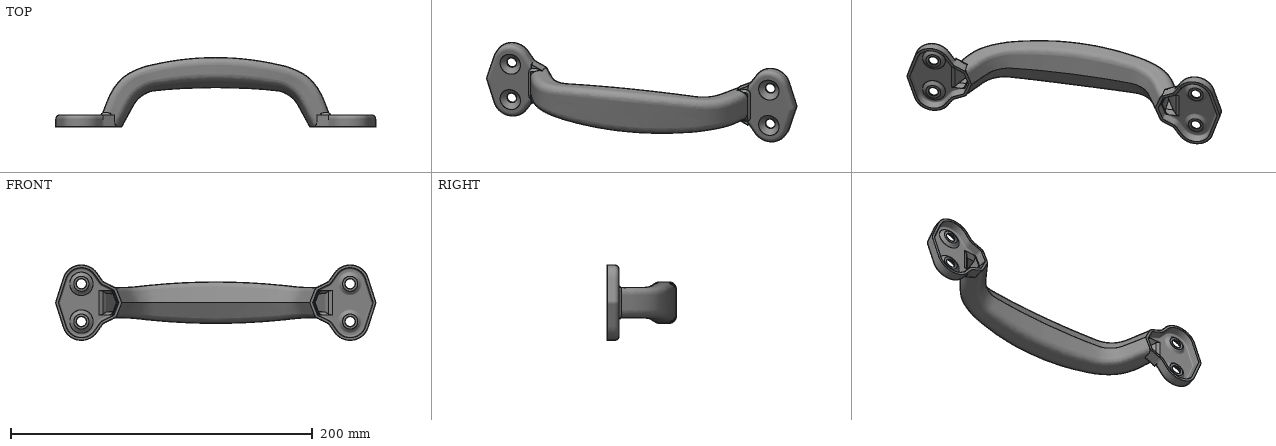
import cadquery as cq
import math

OUTER_LINE = {"apex": 45.95, "bow_radius": 185.0, "bow_angle": 15.0, "bend_radius": 34.7, "leg_angle": 68.7}
RIDGE_LINE = {"apex": 26.0, "bow_radius": 397.0, "bow_angle": 5.75, "bend_radius": 19.1, "leg_angle": 61.6}
LEG_SPANS = 3
BEND_SPANS = 3
BOW_SPANS = 6

GRIP_HALF_WIDTH = 13.75
WAIST_HALF_WIDTH = 10.1
WIDTH_FALLOFF = 0.00123
RIDGE_SLOPE = 21.0
INNER_ROUND_RATIO = 0.37
OUTER_ROUND = 5.0

PAD_HEIGHT = 8.0
PAD_TIP_X = 106.0
TIP_ROUND = 3.0
LUG_RADIUS = 12.5
HOLE_X = 89.0
HOLE_Z = 12.5
NECK_START = (74.6, 13.8)
NECK_END = (66.0, 9.7)
NECK_ROUND = 4.0
PAD_EDGE_ROUND = 3.0

COLLAR_INNER_X = 69.0
COLLAR_OUTER_X = 76.3
COLLAR_HALF_WIDTH = 11.2
COLLAR_CORNER_ROUND = 3.0
COLLAR_HEIGHT = 1.5
COLLAR_SLOPE = 45.0
NECK_BLOCK_X = 74.6

RIM_WIDTH = 1.8
POCKET_DEPTH = 5.5
POCKET_DRAFT = 8.0
POCKET_FLOOR_ROUND = 0.8

HOLLOW_MOUTH_HALF_WIDTH = 8.2
HOLLOW_BED_HALF_WIDTH = 6.2
HOLLOW_TOP_HALF_WIDTH = 5.2
HOLLOW_START_X = 77.2
HOLLOW_RAMP_X = 74.8
HOLLOW_RAMP_DEPTH = 6.4
HOLLOW_BED_X = 72.6
HOLLOW_BED_DEPTH = 8.8
HOLLOW_BED_ANGLE = 63.0
HOLLOW_WALL = 2.6

HOLE_DIAMETER = 6.6
BOSS_TOP_RADIUS = 5.0
BOSS_FLANK_RADIUS = 6.2
BOSS_BASE_RADIUS = 8.9
BOSS_HEIGHT = 1.8
BOSS_FOOT_HEIGHT = 1.0
COUNTERSINK_RADIUS = 7.0
COUNTERSINK_DEPTH = 3.3


def line_stations(line):
    """Points on one grip line, from the foot of the +X leg to mid-length."""
    bow = line["bow_radius"]
    bend = line["bend_radius"]
    bow_angle = math.radians(line["bow_angle"])
    leg_angle = math.radians(line["leg_angle"])
    bow_center_y = line["apex"] - bow
    bend_center_x = (bow - bend) * math.sin(bow_angle)
    bend_center_y = bow_center_y + (bow - bend) * math.cos(bow_angle)

    def on_bend(angle):
        return bend_center_x + bend * math.sin(angle), bend_center_y + bend * math.cos(angle)

    def on_bow(angle):
        return bow * math.sin(angle), bow_center_y + bow * math.cos(angle)

    leg_top = on_bend(leg_angle)
    foot = (leg_top[0] + leg_top[1] / math.tan(leg_angle), 0.0)
    points = []
    for i in range(LEG_SPANS):
        share = i / LEG_SPANS
        points.append((foot[0] + (leg_top[0] - foot[0]) * share, leg_top[1] * share))
    for i in range(BEND_SPANS):
        points.append(on_bend(leg_angle + (bow_angle - leg_angle) * i / BEND_SPANS))
    for i in range(BOW_SPANS + 1):
        points.append(on_bow(bow_angle * (1 - i / BOW_SPANS)))
    return points


def grip_section(ridge, outer):
    """Five-sided section with rounded edges, in the plane through ridge, outer and the Z direction."""
    depth = math.dist(ridge, outer)
    half_width = max(WAIST_HALF_WIDTH, GRIP_HALF_WIDTH - WIDTH_FALLOFF * ((ridge[0] + outer[0]) / 2) ** 2)
    radius = INNER_ROUND_RATIO * half_width
    slope = math.radians(RIDGE_SLOPE)
    bisector = (math.pi / 2 - slope) / 2
    center_z = half_width - radius
    inner_z = center_z + radius * math.sin(slope)
    inner_depth = inner_z * math.tan(slope)
    inner_center_depth = inner_depth + radius * math.cos(slope)
    inner_mid_angle = slope + bisector
    inner_mid_depth = inner_center_depth - radius * math.cos(inner_mid_angle)
    inner_mid_z = center_z + radius * math.sin(inner_mid_angle)
    flat_z = half_width - OUTER_ROUND
    side_end = depth - OUTER_ROUND
    outer_mid = OUTER_ROUND * math.sqrt(0.5)

    direction = ((outer[0] - ridge[0]) / depth, (outer[1] - ridge[1]) / depth)
    plane = cq.Plane(
        origin=(ridge[0], ridge[1], 0),
        xDir=(direction[0], direction[1], 0),
        normal=(direction[1], -direction[0], 0),
    )
    return (
        cq.Workplane(plane)
        .moveTo(0, 0)
        .lineTo(inner_depth, inner_z)
        .threePointArc((inner_mid_depth, inner_mid_z), (inner_center_depth, half_width))
        .lineTo(side_end, half_width)
        .threePointArc((side_end + outer_mid, flat_z + outer_mid), (depth, flat_z))
        .lineTo(depth, -flat_z)
        .threePointArc((side_end + outer_mid, -flat_z - outer_mid), (side_end, -half_width))
        .lineTo(inner_center_depth, -half_width)
        .threePointArc((inner_mid_depth, -inner_mid_z), (inner_depth, -inner_z))
        .close()
        .wire()
        .val()
    )


def make_half_grip():
    stations = zip(line_stations(RIDGE_LINE), line_stations(OUTER_LINE))
    sections = [grip_section(ridge, outer) for ridge, outer in stations]
    return cq.Workplane(cq.Solid.makeLoft(sections))


def lug_tangent(center, radius, side):
    """Direction angle of the line touching the lug and a circle; a radius of 0 makes it a point."""
    dx = center[0] - HOLE_X
    dz = center[1] - HOLE_Z
    return math.atan2(dz, dx) + side * math.acos((LUG_RADIUS - radius) / math.hypot(dx, dz))


def on_lug(angle):
    return HOLE_X + LUG_RADIUS * math.cos(angle), HOLE_Z + LUG_RADIUS * math.sin(angle)


def below(point):
    return point[0], -point[1]


def make_pad_prism(ridge_foot_x):
    """Pad at +X with square edges, standing on Y = 0 and ending in a point at the foot of the ridge."""
    tip_center = (PAD_TIP_X - TIP_ROUND, 0)
    tip_angle = lug_tangent(tip_center, TIP_ROUND, 1)
    neck_angle = lug_tangent(NECK_START, 0, -1) % (2 * math.pi)
    tip_end = (tip_center[0] + TIP_ROUND * math.cos(tip_angle), TIP_ROUND * math.sin(tip_angle))
    lug_near_tip = on_lug(tip_angle)
    lug_middle = on_lug((tip_angle + neck_angle) / 2)
    lug_near_neck = on_lug(neck_angle)
    prism = (
        cq.Workplane("XZ")
        .moveTo(*below(tip_end))
        .threePointArc((PAD_TIP_X, 0), tip_end)
        .lineTo(*lug_near_tip)
        .threePointArc(lug_middle, lug_near_neck)
        .lineTo(*NECK_START)
        .lineTo(*NECK_END)
        .lineTo(ridge_foot_x, 0)
        .lineTo(*below(NECK_END))
        .lineTo(*below(NECK_START))
        .lineTo(*below(lug_near_neck))
        .threePointArc(below(lug_middle), below(lug_near_tip))
        .close()
        .extrude(-PAD_HEIGHT)
    )
    for corner in (NECK_START, NECK_END):
        for x, z in (corner, below(corner)):
            nearest = cq.selectors.NearestToPointSelector((x, PAD_HEIGHT / 2, z))
            prism = prism.edges("|Y").edges(nearest).fillet(NECK_ROUND)
    return prism


def make_neck_block(prism):
    """The square-edged neck part of the pad."""
    width = 2 * PAD_TIP_X
    inner_side = cq.Workplane("XY").box(NECK_BLOCK_X, PAD_HEIGHT, width, centered=(False, False, True))
    return prism.intersect(inner_side)


def make_collar():
    """Sloping step around the foot of the leg."""
    length = COLLAR_OUTER_X - COLLAR_INNER_X
    outline = (
        cq.Sketch()
        .rect(length, 2 * COLLAR_HALF_WIDTH)
        .vertices(">X")
        .fillet(COLLAR_CORNER_ROUND)
    )
    return (
        cq.Workplane("XZ", origin=(COLLAR_INNER_X + length / 2, PAD_HEIGHT, 0))
        .placeSketch(outline)
        .extrude(-COLLAR_HEIGHT, taper=COLLAR_SLOPE)
    )


def make_boss(hole_z):
    """Flared screw boss hanging from the pocket floor, with its top towards -Y."""
    foot_y = POCKET_DEPTH - BOSS_FOOT_HEIGHT
    top_y = POCKET_DEPTH - BOSS_HEIGHT
    flare_middle = (
        BOSS_BASE_RADIUS - (BOSS_BASE_RADIUS - BOSS_FLANK_RADIUS) * math.sin(math.pi / 4),
        POCKET_DEPTH - BOSS_FOOT_HEIGHT * (1 - math.cos(math.pi / 4)),
    )
    return (
        cq.Workplane("XY")
        .moveTo(0, top_y)
        .lineTo(BOSS_TOP_RADIUS, top_y)
        .lineTo(BOSS_FLANK_RADIUS, foot_y)
        .threePointArc(flare_middle, (BOSS_BASE_RADIUS, POCKET_DEPTH))
        .lineTo(0, POCKET_DEPTH)
        .close()
        .revolve(360, (0, 0), (0, 1))
        .translate((HOLE_X, 0, hole_z))
    )


def make_pocket(prism):
    """Drafted hollow of the pad, following its outline, with the bosses left standing."""
    rim = prism.faces("<Y").wires().val().offset2D(-RIM_WIDTH)
    hollow = cq.Workplane("XZ").add(rim).toPending().extrude(-POCKET_DEPTH, taper=POCKET_DRAFT)
    hollow = hollow.faces(">Y").edges().fillet(POCKET_FLOOR_ROUND)
    for hole_z in (HOLE_Z, -HOLE_Z):
        hollow = hollow.cut(make_boss(hole_z))
    return hollow


def make_leg_hollow(prism, ridge_foot_x):
    """Hollow with sloping flanks that ramps from the pocket floor and then follows the leg upwards."""
    top_depth = HOLLOW_BED_DEPTH + (HOLLOW_BED_X - ridge_foot_x) * math.tan(math.radians(HOLLOW_BED_ANGLE))
    lengthwise = (
        cq.Workplane("XY")
        .moveTo(HOLLOW_START_X, POCKET_DEPTH)
        .lineTo(HOLLOW_RAMP_X, HOLLOW_RAMP_DEPTH)
        .lineTo(HOLLOW_BED_X, HOLLOW_BED_DEPTH)
        .lineTo(ridge_foot_x, top_depth)
        .lineTo(ridge_foot_x, POCKET_DEPTH)
        .close()
        .extrude(HOLLOW_MOUTH_HALF_WIDTH, both=True)
    )
    crosswise = (
        cq.Workplane("YZ")
        .moveTo(POCKET_DEPTH, -HOLLOW_MOUTH_HALF_WIDTH)
        .lineTo(HOLLOW_BED_DEPTH, -HOLLOW_BED_HALF_WIDTH)
        .lineTo(top_depth, -HOLLOW_TOP_HALF_WIDTH)
        .lineTo(top_depth, HOLLOW_TOP_HALF_WIDTH)
        .lineTo(HOLLOW_BED_DEPTH, HOLLOW_BED_HALF_WIDTH)
        .lineTo(POCKET_DEPTH, HOLLOW_MOUTH_HALF_WIDTH)
        .close()
        .extrude(PAD_TIP_X)
    )
    inset = prism.faces("<Y").wires().val().offset2D(-HOLLOW_WALL)
    neck = cq.Workplane("XZ").add(inset).toPending().extrude(-top_depth)
    return lengthwise.intersect(crosswise).intersect(neck)


def make_screw_hole(hole_z):
    """Through hole, countersunk from the pad front so that the boss keeps an even wall."""
    hole_radius = HOLE_DIAMETER / 2
    return (
        cq.Workplane("XY")
        .lineTo(hole_radius, 0)
        .lineTo(hole_radius, PAD_HEIGHT - COUNTERSINK_DEPTH)
        .lineTo(COUNTERSINK_RADIUS, PAD_HEIGHT)
        .lineTo(0, PAD_HEIGHT)
        .close()
        .revolve(360, (0, 0), (0, 1))
        .translate((HOLE_X, 0, hole_z))
    )


def make_handle():
    """Build the +X half and mirror it about mid-length."""
    ridge_foot_x = line_stations(RIDGE_LINE)[0][0]
    prism = make_pad_prism(ridge_foot_x)
    pad = prism.faces(">Y").edges().fillet(PAD_EDGE_ROUND)
    half = make_half_grip().union(pad).union(make_neck_block(prism)).union(make_collar())
    half = half.cut(make_pocket(prism)).cut(make_leg_hollow(prism, ridge_foot_x))
    for hole_z in (HOLE_Z, -HOLE_Z):
        half = half.cut(make_screw_hole(hole_z))
    return half.union(half.mirror("YZ"))


result = make_handle()